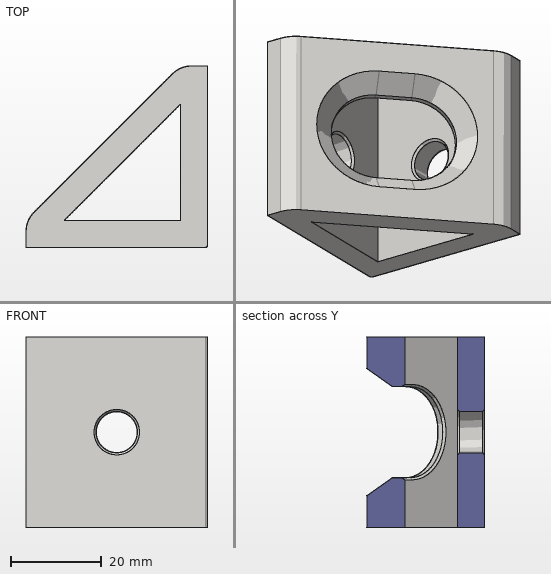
import cadquery as cq
import math

leg = 40.0
height = 42.0

wall = 6.0
tip_radius = 6.0
corner_radius = 0.5

hole_diameter = 9.0
hole_chamfer = 0.5

window_radius = 10.0
window_centre_distance = 8.0
flare_depth = 4.0
flare_angle = 45.0
window_inner_chamfer = 0.5
chamfer_angle = 45.0

half_leg = leg / 2
inner_face = half_leg - wall

web_outer = half_leg - inner_face
web_inner = web_outer - wall * math.sqrt(2)


def make_body():
    """Outer triangular prism with blunt, rounded tips and a slightly rounded corner."""
    body = (
        cq.Workplane("XY")
        .workplane(offset=-height / 2)
        .moveTo(-half_leg, -half_leg)
        .lineTo(half_leg, -half_leg)
        .lineTo(half_leg, half_leg)
        .lineTo(inner_face, half_leg)
        .lineTo(-half_leg, -inner_face)
        .close()
        .extrude(height)
    )
    web_ends = [(inner_face, half_leg, 0), (-half_leg, -inner_face, 0)]
    for point in web_ends:
        body = body.edges(cq.selectors.NearestToPointSelector(point)).fillet(tip_radius)
    return body.edges("|Z and >X and <Y").fillet(corner_radius)


def make_cavity():
    """Triangular opening that runs the full height between the legs and the web."""
    return (
        cq.Workplane("XY")
        .workplane(offset=-height / 2)
        .moveTo(inner_face, -inner_face)
        .lineTo(inner_face, inner_face + web_inner)
        .lineTo(-inner_face - web_inner, -inner_face)
        .close()
        .extrude(height)
    )


def web_plane(offset):
    """Plane parallel to the web, at mid-length and facing inwards, where y - x = offset."""
    return cq.Plane(
        origin=(-offset / 2, offset / 2, 0),
        xDir=(1, 1, 0),
        normal=(1, -1, 0),
    )


def window_slot(plane, radius):
    """Horizontal slot outline whose round ends have the given radius."""
    return cq.Workplane(plane).slot2D(window_centre_distance + 2 * radius, 2 * radius)


def make_window():
    """Slot through the web, flared to the outside and chamfered on the inside."""
    flare_radius = window_radius + flare_depth * math.tan(math.radians(flare_angle))
    chamfer_radius = window_radius + window_inner_chamfer
    outer_face = web_plane(web_outer)
    inner_web_face = web_plane(web_inner)

    flare = window_slot(outer_face, flare_radius).extrude(flare_depth, taper=flare_angle)
    straight = window_slot(outer_face, window_radius).extrude(wall)
    chamfer = window_slot(inner_web_face, chamfer_radius).extrude(
        -window_inner_chamfer, taper=chamfer_angle
    )
    return flare.union(straight).union(chamfer)


def make_screw_hole():
    """Hole along X through the +X leg, chamfered at both ends."""
    hole_radius = hole_diameter / 2
    mouth_radius = hole_radius + hole_chamfer
    return (
        cq.Workplane("XY")
        .moveTo(inner_face, 0)
        .lineTo(inner_face, mouth_radius)
        .lineTo(inner_face + hole_chamfer, hole_radius)
        .lineTo(half_leg - hole_chamfer, hole_radius)
        .lineTo(half_leg, mouth_radius)
        .lineTo(half_leg, 0)
        .close()
        .revolve(360, (0, 0, 0), (1, 0, 0))
    )


screw_hole_x = make_screw_hole()
screw_hole_y = screw_hole_x.rotate((0, 0, 0), (0, 0, 1), -90)

result = (
    make_body()
    .cut(make_cavity())
    .cut(make_window())
    .cut(screw_hole_x)
    .cut(screw_hole_y)
)